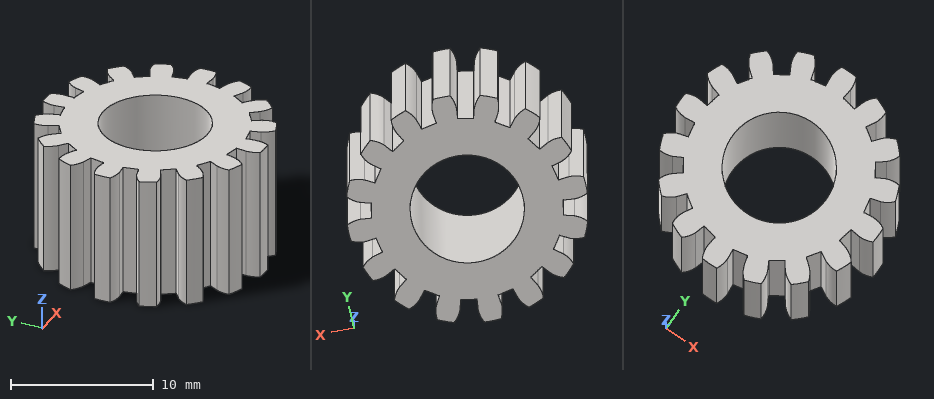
import cadquery as cq
import math

TOOTH_COUNT = 16
OUTER_RADIUS = 8.5
SHOULDER_RADIUS = 7.51
ROOT_RADIUS = 6.75
BORE_DIAMETER = 8.0
FACE_WIDTH = 10.0

TIP_HALF_WIDTH = 0.61
UPPER_FLANK_HALF_WIDTH = 0.8
SHOULDER_HALF_WIDTH = 0.85
ROOT_HALF_WIDTH = 0.76

TOOTH_PITCH_ANGLE = 360 / TOOTH_COUNT
UPPER_FLANK_RADIUS = (OUTER_RADIUS + SHOULDER_RADIUS) / 2


def tooth_point(tooth_angle, radius, offset):
    """Point at a radius, offset sideways from the centreline of the tooth at tooth_angle degrees."""
    angle = math.radians(tooth_angle) + math.asin(offset / radius)
    return (radius * math.cos(angle), radius * math.sin(angle))


def gear_outline():
    """Closed tooth outline, with one tooth centred on +X."""
    outline = cq.Workplane("XY").moveTo(*tooth_point(0, ROOT_RADIUS, -ROOT_HALF_WIDTH))
    for tooth in range(TOOTH_COUNT):
        angle = tooth * TOOTH_PITCH_ANGLE
        if tooth > 0:
            outline = outline.lineTo(*tooth_point(angle, ROOT_RADIUS, -ROOT_HALF_WIDTH))
        outline = outline.lineTo(*tooth_point(angle, SHOULDER_RADIUS, -SHOULDER_HALF_WIDTH))
        outline = outline.threePointArc(
            tooth_point(angle, UPPER_FLANK_RADIUS, -UPPER_FLANK_HALF_WIDTH),
            tooth_point(angle, OUTER_RADIUS, -TIP_HALF_WIDTH),
        )
        outline = outline.threePointArc(
            tooth_point(angle, OUTER_RADIUS, 0),
            tooth_point(angle, OUTER_RADIUS, TIP_HALF_WIDTH),
        )
        outline = outline.threePointArc(
            tooth_point(angle, UPPER_FLANK_RADIUS, UPPER_FLANK_HALF_WIDTH),
            tooth_point(angle, SHOULDER_RADIUS, SHOULDER_HALF_WIDTH),
        )
        outline = outline.lineTo(*tooth_point(angle, ROOT_RADIUS, ROOT_HALF_WIDTH))
    return outline.close()


body = gear_outline().extrude(FACE_WIDTH / 2, both=True)
bore = cq.Workplane("XY").circle(BORE_DIAMETER / 2).extrude(FACE_WIDTH / 2, both=True)
result = body.cut(bore)